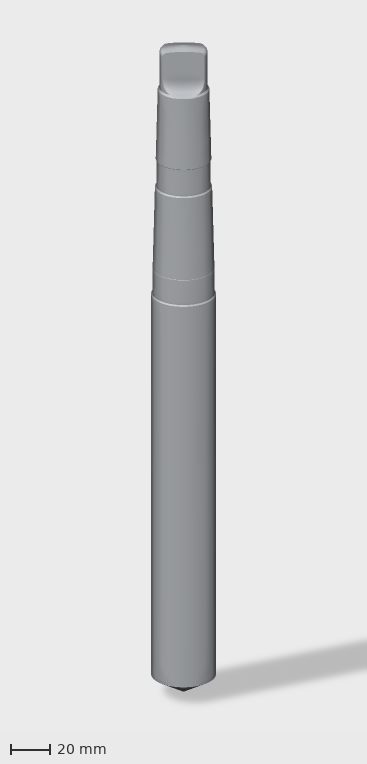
import cadquery as cq
import math

total_length = 361.95
drill_diameter = 33.22
point_angle = 118.0
cutting_length = 134.0

taper_ratio = 1 / 19.254
taper_length = 124.2
taper_large_diameter = 31.6
relief_diameter = 27.8
relief_start_depth = 63.1
relief_end_depth = 78.1
neck_diameter = 31.84
neck_end_depth = 138.1

tang_length = 24.0
tang_diameter = 24.5
tang_thickness = 11.9
tang_root_radius = 8.0
tang_angle = 67.5
tang_rim_radius = 2.2
tang_crown_angle = 7.0

drill_radius = drill_diameter / 2
tang_radius = tang_diameter / 2
point_height = drill_radius / math.tan(math.radians(point_angle / 2))


def height_at(depth):
    """Height above the drill point of a place given by its depth below the tang end."""
    return total_length - depth


def taper_radius(depth):
    """Radius of the Morse taper at a depth below the tang end."""
    return (taper_large_diameter - (taper_length - depth) * taper_ratio) / 2


def make_cutting_end():
    """Cylindrical cutting end with a conical point."""
    return (
        cq.Workplane("XZ")
        .lineTo(drill_radius, point_height)
        .lineTo(drill_radius, cutting_length)
        .lineTo(0, cutting_length)
        .close()
        .revolve(360, (0, 0, 0), (0, 1, 0))
    )


def make_shank_blank():
    """Turned shank: body, neck, relieved taper and round tang, with 45 degree cones at the steps."""
    relief_radius = relief_diameter / 2
    neck_radius = neck_diameter / 2

    relief_top_radius = taper_radius(relief_start_depth)
    relief_top_cone = relief_top_radius - relief_radius
    relief_bottom_cone = taper_radius(relief_end_depth) - relief_radius
    relief_bottom_depth = relief_end_depth + relief_bottom_cone

    taper_end_radius = taper_radius(taper_length)
    taper_end_cone = neck_radius - taper_end_radius
    neck_end_cone = drill_radius - neck_radius

    shoulder_radius = taper_radius(tang_length)
    shoulder_cone = shoulder_radius - tang_radius

    crown_angle = math.radians(tang_crown_angle)
    rim_center_radius = tang_radius - tang_rim_radius
    rim_top_radius = rim_center_radius + tang_rim_radius * math.sin(crown_angle)
    rim_top_depth = rim_top_radius * math.tan(crown_angle)
    rim_bottom_depth = rim_top_depth + tang_rim_radius * math.cos(crown_angle)

    return (
        cq.Workplane("XZ")
        .moveTo(0, cutting_length)
        .lineTo(drill_radius, cutting_length)
        .lineTo(drill_radius, height_at(neck_end_depth + neck_end_cone))
        .lineTo(neck_radius, height_at(neck_end_depth))
        .lineTo(neck_radius, height_at(taper_length + taper_end_cone))
        .lineTo(taper_end_radius, height_at(taper_length))
        .lineTo(taper_radius(relief_bottom_depth), height_at(relief_bottom_depth))
        .lineTo(relief_radius, height_at(relief_end_depth))
        .lineTo(relief_radius, height_at(relief_start_depth + relief_top_cone))
        .lineTo(relief_top_radius, height_at(relief_start_depth))
        .lineTo(shoulder_radius, height_at(tang_length))
        .lineTo(tang_radius, height_at(tang_length - shoulder_cone))
        .lineTo(tang_radius, height_at(rim_bottom_depth))
        .radiusArc((rim_top_radius, height_at(rim_top_depth)), -tang_rim_radius)
        .lineTo(0, total_length)
        .close()
        .revolve(360, (0, 0, 0), (0, 1, 0))
    )


def make_tang_cutter():
    """Tool that mills one flat of the tang, ending in a rounded root."""
    half_thickness = tang_thickness / 2
    root_outer = half_thickness + tang_root_radius
    root_top = height_at(tang_length - tang_root_radius)
    return (
        cq.Workplane("XZ")
        .moveTo(half_thickness, total_length)
        .lineTo(half_thickness, root_top)
        .radiusArc((root_outer, height_at(tang_length)), -tang_root_radius)
        .lineTo(drill_radius, height_at(tang_length))
        .lineTo(drill_radius, total_length)
        .close()
        .extrude(drill_radius, both=True)
    )


def make_shank():
    shank = make_shank_blank()
    for side_angle in (-90, 90):
        cutter = make_tang_cutter().rotate((0, 0, 0), (0, 0, 1), tang_angle + side_angle)
        shank = shank.cut(cutter)
    return shank


cutting_end = make_cutting_end()
shank = make_shank()

result = cq.Compound.makeCompound([cutting_end.val(), shank.val()])